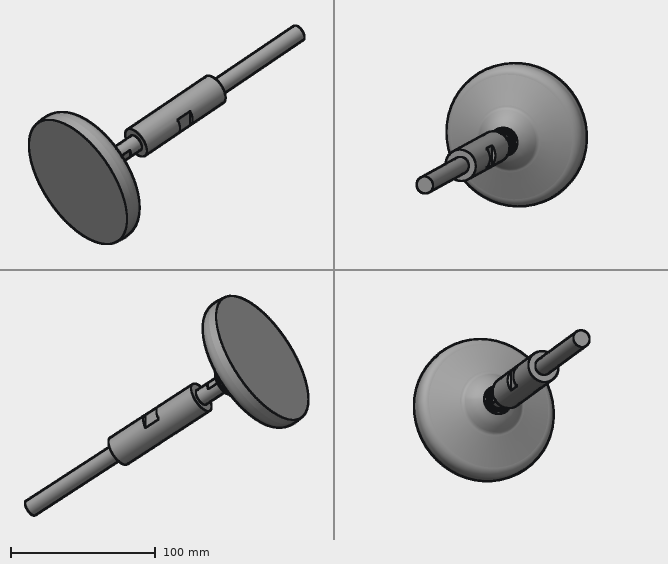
import cadquery as cq

TOTAL_LENGTH = 210.0

FOOT_RADIUS = 50.0
UNDERSIDE_RADIUS = 49.4
WIDEST_Y = 5.7
SHOULDER_START_RADIUS = 49.8
SHOULDER_START_Y = 8.8
SHOULDER_MID_RADIUS = 48.0
SHOULDER_MID_Y = 13.2
SHOULDER_END_RADIUS = 43.7
SHOULDER_END_Y = 16.0
CONE_TOP_RADIUS = 23.5
CONE_TOP_Y = 23.5
BLEND_MID_RADIUS = 21.8
BLEND_MID_Y = 24.2
DOME_EDGE_RADIUS = 20.5
DOME_EDGE_Y = 25.2
DOME_MID_RADIUS = 15.5
DOME_MID_Y = 30.5
DOME_TOP_Y = 33.5

BEAD_OUTER_RADIUS = 9.7
BEAD_WIDTH = 1.5
BEAD_HEIGHT = 1.5

ROD_DIAMETER = 12.0
ROD_RADIUS = ROD_DIAMETER / 2
NECK_RADIUS = 7.0
NECK_TOP_Y = 35.5
ROD_FLATS_START_Y = 36.8
ROD_FLATS_LENGTH = 8.2
ROD_ACROSS_FLATS = 9.7

SLEEVE_DIAMETER = 22.0
SLEEVE_RADIUS = SLEEVE_DIAMETER / 2
SLEEVE_START_Y = 55.2
SLEEVE_LENGTH = 75.0
SLEEVE_FLATS_LENGTH = 12.0
SLEEVE_ACROSS_FLATS = 17.0


def cylinder(radius, start_y, length):
    """Solid cylinder on the Y axis running from start_y toward +Y."""
    return cq.Workplane("XZ", origin=(0, start_y, 0)).circle(radius).extrude(-length)


def cut_wrench_flats(body, radius, across_flats, start_y, length):
    """Mill two parallel flats facing +X and -X."""
    depth = radius - across_flats / 2
    for side in (-1, 1):
        cutter = cq.Workplane("XY").box(2 * depth, length, 2 * radius)
        body = body.cut(cutter.translate((side * radius, start_y + length / 2, 0)))
    return body


def make_foot():
    bead_inner_radius = BEAD_OUTER_RADIUS - BEAD_WIDTH
    bead_mid_radius = BEAD_OUTER_RADIUS - BEAD_WIDTH / 2
    profile = (
        cq.Workplane("XY")
        .lineTo(UNDERSIDE_RADIUS, 0)
        .lineTo(FOOT_RADIUS, WIDEST_Y)
        .lineTo(SHOULDER_START_RADIUS, SHOULDER_START_Y)
        .threePointArc((SHOULDER_MID_RADIUS, SHOULDER_MID_Y), (SHOULDER_END_RADIUS, SHOULDER_END_Y))
        .lineTo(CONE_TOP_RADIUS, CONE_TOP_Y)
        .threePointArc((BLEND_MID_RADIUS, BLEND_MID_Y), (DOME_EDGE_RADIUS, DOME_EDGE_Y))
        .threePointArc((DOME_MID_RADIUS, DOME_MID_Y), (BEAD_OUTER_RADIUS, DOME_TOP_Y))
        .threePointArc((bead_mid_radius, DOME_TOP_Y + BEAD_HEIGHT), (bead_inner_radius, DOME_TOP_Y))
        .lineTo(0, DOME_TOP_Y)
        .close()
    )
    return profile.revolve(360, (0, 0, 0), (0, 1, 0))


def make_spindle():
    neck = cylinder(NECK_RADIUS, DOME_TOP_Y, NECK_TOP_Y - DOME_TOP_Y)
    rod = cylinder(ROD_RADIUS, NECK_TOP_Y, TOTAL_LENGTH - NECK_TOP_Y)
    return cut_wrench_flats(neck.union(rod), ROD_RADIUS, ROD_ACROSS_FLATS, ROD_FLATS_START_Y, ROD_FLATS_LENGTH)


def make_sleeve():
    sleeve = cylinder(SLEEVE_RADIUS, SLEEVE_START_Y, SLEEVE_LENGTH)
    bore = cylinder(ROD_RADIUS, SLEEVE_START_Y, SLEEVE_LENGTH)
    flats_start_y = SLEEVE_START_Y + (SLEEVE_LENGTH - SLEEVE_FLATS_LENGTH) / 2
    return cut_wrench_flats(
        sleeve.cut(bore), SLEEVE_RADIUS, SLEEVE_ACROSS_FLATS, flats_start_y, SLEEVE_FLATS_LENGTH
    )


foot = make_foot()
spindle = make_spindle()
sleeve = make_sleeve()

result = cq.Compound.makeCompound([foot.val(), spindle.val(), sleeve.val()])